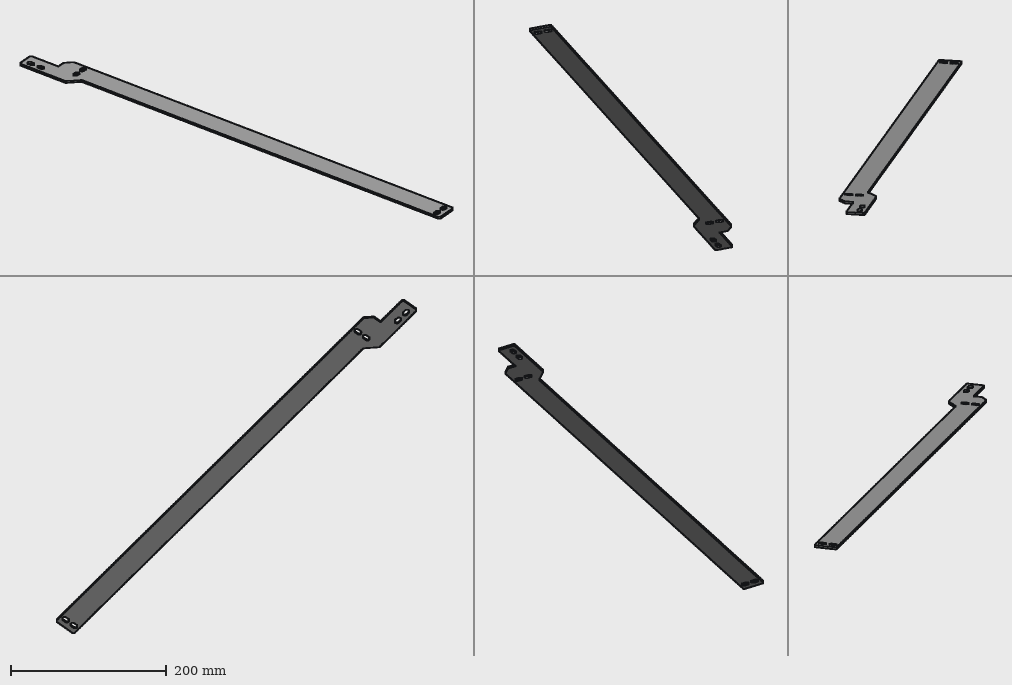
import cadquery as cq

length = 664.0
overall_width = 44.5
thickness = 3.0

bar_width = 30.0
bar_bottom = overall_width - bar_width

tab_length = 44.5
tab_width = 24.0
shoulder_chamfer = 9.0
lower_edge_length = 74.5
corner_radius = 2.0

slot_length = 10.0
slot_width = 6.0

tab_slot_inset = 12.0
tab_slot_pitch = 16.0
tab_slot_y = 8.5

bar_slot_pitch = 14.0
left_slots_x = 74.5
right_slots_x = length - 10.0
bar_center_y = bar_bottom + bar_width / 2


def plate():
    """Flat bar with a stepped tab and 45 degree transitions and rounded corners."""
    outline = [
        (0, 0),
        (lower_edge_length, 0),
        (lower_edge_length + bar_bottom, bar_bottom),
        (length, bar_bottom),
        (length, overall_width),
        (tab_length + shoulder_chamfer, overall_width),
        (tab_length, overall_width - shoulder_chamfer),
        (tab_length, tab_width),
        (0, tab_width),
    ]
    blank = cq.Workplane("XY").polyline(outline).close().extrude(thickness)
    inside_corner = cq.selectors.NearestToPointSelector((tab_length, tab_width, thickness / 2))
    rounded_corners = cq.selectors.ParallelDirSelector(cq.Vector(0, 0, 1)) - inside_corner
    return blank.edges(rounded_corners).fillet(corner_radius)


def slot_cutter(centers, angle):
    """Through slots at the given centers, with their long axis at angle to X."""
    return cq.Workplane("XY").pushPoints(centers).slot2D(slot_length, slot_width, angle).extrude(thickness)


tab_slots = [(tab_slot_inset + i * tab_slot_pitch, tab_slot_y) for i in range(2)]
bar_slots = [
    (x, bar_center_y + side * bar_slot_pitch / 2)
    for x in (left_slots_x, right_slots_x)
    for side in (-1, 1)
]

result = plate().cut(slot_cutter(tab_slots, 0)).cut(slot_cutter(bar_slots, 90))